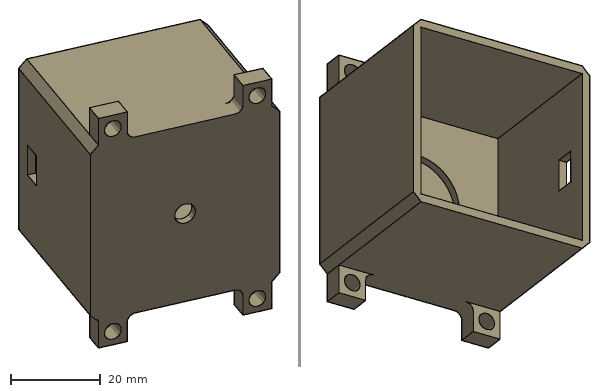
import cadquery as cq

box_length = 40.0
box_side = 46.0
wall = 2.0
corner_chamfer = wall
end_wall = 4.0
cavity_side = box_side - 2 * wall
cavity_depth = box_length - end_wall

total_height = 60
tab_height = (total_height - box_side) / 2
tab_width = tab_height
tab_thickness = 5.0
tab_hole_diameter = 4.0
tab_fillet = wall
tab_center_y = (cavity_side - tab_width) / 2
tab_center_z = (box_side + tab_height) / 2

recess_diameter = 22.0
recess_depth = end_wall / 2
center_hole_diameter = 5.0

window_start = 5.0
window_length = 5.0
window_bottom = -4.0
window_top = 3.7
window_height = window_top - window_bottom
window_center_z = (window_top + window_bottom) / 2


def x_cylinder(diameter, start, length, y=0, z=0):
    """Cylinder along +X, starting at the given X position."""
    return cq.Workplane("YZ", origin=(start, y, z)).circle(diameter / 2).extrude(length)


def make_box():
    """Chamfered box with a square cavity open at -X."""
    outer = cq.Workplane("YZ").rect(box_side, box_side).extrude(box_length)
    outer = outer.edges("|X").chamfer(corner_chamfer)
    cavity = cq.Workplane("YZ").rect(cavity_side, cavity_side).extrude(cavity_depth)
    return outer.cut(cavity)


def make_tab():
    """Upper +Y tab with a hole and a concave fillet on its inner foot."""
    inner_y = tab_center_y - tab_width / 2
    outer_y = tab_center_y + tab_width / 2
    foot_z = box_side / 2
    top_z = foot_z + tab_height
    start_x = box_length - tab_thickness
    fillet_offset = tab_fillet * (1 - 0.5**0.5)
    tab = (
        cq.Workplane("YZ", origin=(start_x, 0, 0))
        .moveTo(inner_y - tab_fillet, foot_z)
        .threePointArc(
            (inner_y - fillet_offset, foot_z + fillet_offset),
            (inner_y, foot_z + tab_fillet),
        )
        .lineTo(inner_y, top_z)
        .lineTo(outer_y, top_z)
        .lineTo(outer_y, foot_z - wall / 2)
        .lineTo(inner_y - tab_fillet, foot_z - wall / 2)
        .close()
        .extrude(tab_thickness)
    )
    hole = x_cylinder(tab_hole_diameter, start_x, tab_thickness, tab_center_y, tab_center_z)
    return tab.cut(hole)


def make_window():
    """Cutter for the window, passing through the -Y wall only."""
    return cq.Workplane("XY").box(window_length, 2 * wall, window_height).translate(
        (window_start + window_length / 2, -box_side / 2, window_center_z)
    )


result = make_box()

upper_tab = make_tab()
upper_tabs = upper_tab.union(upper_tab.mirror("XZ"))
result = result.union(upper_tabs).union(upper_tabs.mirror("XY"))

result = result.cut(x_cylinder(recess_diameter, cavity_depth, recess_depth))
result = result.cut(x_cylinder(center_hole_diameter, cavity_depth, end_wall))
result = result.cut(make_window())